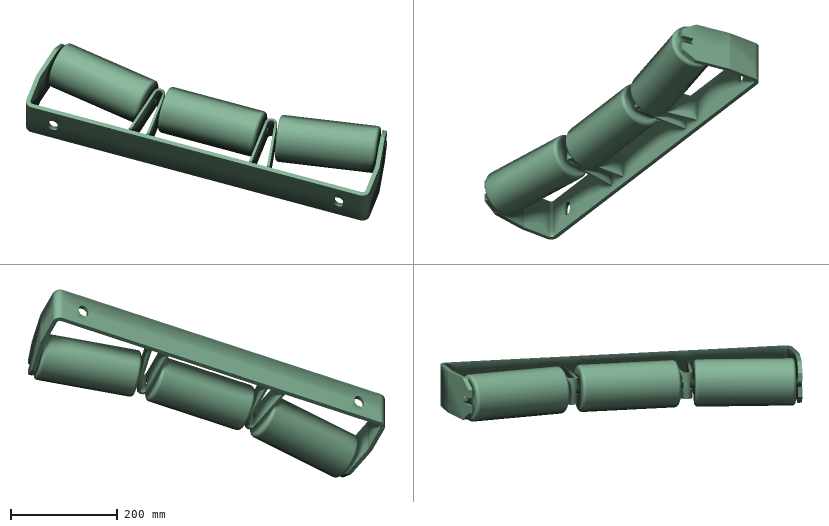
import cadquery as cq
import math

LENGTH = 680.0
TILT = 10.0

ROLLER_DIAMETER = 89.0
ROLLER_LENGTH = 190.5
ROLLER_EDGE_RADIUS = 6.0
ROLLER_GAP = 4.0
MIDDLE_ROLLER_Y = 102.0
OUTER_ROLLER_Y = 122.0
SHAFT_DIAMETER = 20.0
SHAFT_FLATS = 14.0

FRAME_WIDTH = 80.0
FRAME_THICKNESS = 8.0
CORNER_RADIUS = 14.0
ARM_BEND_Y = 73.0
ARM_TIP_Y = 170.0
TIP_WIDTH = 45.0
TIP_TAPER = 28.5
MOUNT_HOLE_SPACING = 566.0
MOUNT_HOLE_WIDTH = 19.0
MOUNT_HOLE_LENGTH = 28.0

DIVIDER_WIDTH = 50.0
DIVIDER_THICKNESS = 5.0
DIVIDER_TOP_Y = 128.0

SIN_TILT = math.sin(math.radians(TILT))
COS_TILT = math.cos(math.radians(TILT))
SUPPORT_FACE = ROLLER_LENGTH / 2 + ROLLER_GAP
DIVIDER_REACH = SUPPORT_FACE + DIVIDER_THICKNESS
ARM_REACH = SUPPORT_FACE + FRAME_THICKNESS
OUTER_ROLLER_X = LENGTH / 2 - (ARM_REACH + (OUTER_ROLLER_Y - ARM_BEND_Y) * SIN_TILT) / COS_TILT
FOLD_RADIUS = (
    (OUTER_ROLLER_X - SUPPORT_FACE) * COS_TILT
    + (OUTER_ROLLER_Y - DIVIDER_TOP_Y) * SIN_TILT
    - SUPPORT_FACE
) / (1 + COS_TILT - SIN_TILT)
ARM_LENGTH = (ARM_TIP_Y - ARM_BEND_Y) / COS_TILT


def mirrored(body):
    """The same body on the other side of the YZ plane."""
    return body.mirror("YZ")


def at_right_roller(body):
    """Tilt a body and carry it from the origin to the right outer roller."""
    tilted = body.rotate((0, 0, 0), (0, 0, 1), TILT)
    return tilted.translate((OUTER_ROLLER_X, OUTER_ROLLER_Y, 0))


def at_middle_roller(body):
    return body.translate((0, MIDDLE_ROLLER_Y, 0))


def along_x(sketch, left_reach, right_reach):
    """Extrude a YZ sketch from -left_reach to +right_reach."""
    return sketch.extrude(left_reach + right_reach).translate((-left_reach, 0, 0))


def shaft(left_reach, right_reach):
    """Round bar with a flat above and a flat below."""
    bar = along_x(cq.Workplane("YZ").circle(SHAFT_DIAMETER / 2), left_reach, right_reach)
    flats = along_x(cq.Workplane("YZ").rect(SHAFT_DIAMETER, SHAFT_FLATS), left_reach, right_reach)
    return bar.intersect(flats)


def shaft_slot(left_reach, right_reach):
    """Cutter that seats a shaft and leaves its way in open toward +Y."""
    way_in = cq.Workplane("YZ").center(LENGTH / 2, 0).rect(LENGTH, SHAFT_FLATS)
    return shaft(left_reach, right_reach).union(along_x(way_in, left_reach, right_reach))


def roller(left_reach, right_reach):
    """Roller along X at the origin, in one piece with its shaft."""
    drum = along_x(
        cq.Workplane("YZ").circle(ROLLER_DIAMETER / 2), ROLLER_LENGTH / 2, ROLLER_LENGTH / 2
    )
    drum = drum.edges("%CIRCLE").fillet(ROLLER_EDGE_RADIUS)
    return drum.union(shaft(left_reach, right_reach))


def arm_tip_cutter():
    """Two wedges that taper the tip of the right arm in Z."""
    taper_y = TIP_TAPER * COS_TILT
    wedge = (
        cq.Workplane("YZ")
        .moveTo(ARM_TIP_Y - taper_y, FRAME_WIDTH / 2)
        .lineTo(ARM_TIP_Y, TIP_WIDTH / 2)
        .lineTo(ARM_TIP_Y + taper_y, TIP_WIDTH / 2)
        .lineTo(ARM_TIP_Y + taper_y, FRAME_WIDTH / 2)
        .close()
        .extrude(LENGTH / 2, both=True)
    )
    return wedge.union(wedge.mirror("XY"))


def build_frame():
    """Flat strip bent into a tray shape, with slotted arms for the outer shafts."""
    outer_x = LENGTH / 2
    inner_x = outer_x - FRAME_THICKNESS
    inner_radius = CORNER_RADIUS - FRAME_THICKNESS
    tip_x = outer_x - ARM_LENGTH * SIN_TILT
    bend_x = outer_x - CORNER_RADIUS
    bend_y = ARM_BEND_Y - CORNER_RADIUS * math.tan(math.radians(TILT / 2))

    def bend_end(radius):
        """Point on the bend at this radius, where the leaning face starts."""
        return bend_x + radius * COS_TILT, bend_y + radius * SIN_TILT

    outline = (
        cq.Workplane("XY")
        .moveTo(0, 0)
        .lineTo(outer_x - CORNER_RADIUS, 0)
        .radiusArc((outer_x, CORNER_RADIUS), -CORNER_RADIUS)
        .lineTo(outer_x, bend_y)
        .radiusArc(bend_end(CORNER_RADIUS), -CORNER_RADIUS)
        .lineTo(tip_x, ARM_TIP_Y)
        .lineTo(tip_x - FRAME_THICKNESS * COS_TILT, ARM_TIP_Y - FRAME_THICKNESS * SIN_TILT)
        .lineTo(*bend_end(inner_radius))
        .radiusArc((inner_x, bend_y), inner_radius)
        .lineTo(inner_x, CORNER_RADIUS)
        .radiusArc((inner_x - inner_radius, FRAME_THICKNESS), inner_radius)
        .lineTo(0, FRAME_THICKNESS)
        .close()
    )
    right_half = outline.extrude(FRAME_WIDTH / 2, both=True).cut(arm_tip_cutter())
    right_half = right_half.cut(at_right_roller(shaft_slot(0, 2 * ARM_REACH)))
    mount_holes = (
        cq.Workplane("XZ")
        .pushPoints([(-MOUNT_HOLE_SPACING / 2, 0), (MOUNT_HOLE_SPACING / 2, 0)])
        .slot2D(MOUNT_HOLE_LENGTH, MOUNT_HOLE_WIDTH, 90)
        .extrude(FRAME_THICKNESS, both=True)
    )
    return right_half.union(mirrored(right_half)).cut(mount_holes)


def right_divider():
    """Strip folded over between the middle and right rollers, standing on the frame."""
    inner_radius = FOLD_RADIUS - DIVIDER_THICKNESS
    fold_x = SUPPORT_FACE + FOLD_RADIUS
    fold_y = DIVIDER_TOP_Y - FOLD_RADIUS

    def leaning_leg(radius):
        """Top and foot of the leaning leg's face at this radius from the fold axis."""
        top = (fold_x + radius * COS_TILT, fold_y + radius * SIN_TILT)
        drop = top[1] - FRAME_THICKNESS
        return top, (top[0] + drop * SIN_TILT / COS_TILT, FRAME_THICKNESS)

    outer_top, outer_foot = leaning_leg(FOLD_RADIUS)
    inner_top, inner_foot = leaning_leg(inner_radius)
    strip = (
        cq.Workplane("XY")
        .moveTo(fold_x - FOLD_RADIUS, FRAME_THICKNESS)
        .lineTo(fold_x - FOLD_RADIUS, fold_y)
        .threePointArc((fold_x, DIVIDER_TOP_Y), outer_top)
        .lineTo(*outer_foot)
        .lineTo(*inner_foot)
        .lineTo(*inner_top)
        .threePointArc((fold_x, fold_y + inner_radius), (fold_x - inner_radius, fold_y))
        .lineTo(fold_x - inner_radius, FRAME_THICKNESS)
        .close()
        .extrude(DIVIDER_WIDTH / 2, both=True)
    )
    strip = strip.cut(at_middle_roller(shaft_slot(DIVIDER_REACH, DIVIDER_REACH)))
    return strip.cut(at_right_roller(shaft_slot(DIVIDER_REACH, ARM_REACH)))


frame = build_frame()

first_divider = right_divider()
dividers = [first_divider, mirrored(first_divider)]

outer_roller = at_right_roller(roller(DIVIDER_REACH, ARM_REACH))
rollers = [
    at_middle_roller(roller(DIVIDER_REACH, DIVIDER_REACH)),
    outer_roller,
    mirrored(outer_roller),
]

result = cq.Compound.makeCompound([frame.val()] + [body.val() for body in dividers + rollers])